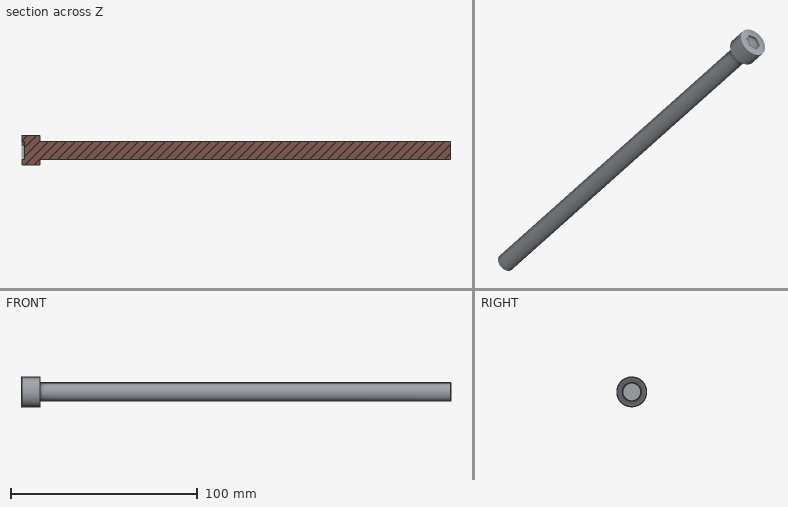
import cadquery as cq
import math

shank_diameter = 10.0
shank_length = 220.0
head_diameter = 16.0
head_height = shank_diameter
tip_chamfer = 0.2
socket_sides = 6
socket_width = 8.0
socket_depth = 1.5


def make_head():
    """Cylindrical head, extending from the seat toward -X."""
    return cq.Workplane("YZ").circle(head_diameter / 2).extrude(-head_height)


def make_shank():
    """Plain shank, extending toward +X, with a chamfered tip."""
    shank = cq.Workplane("YZ").circle(shank_diameter / 2).extrude(shank_length)
    return shank.faces(">X").edges().chamfer(tip_chamfer)


def make_socket():
    """Hexagonal key socket in the head's end face, with two corners on the Y axis."""
    width_across_corners = socket_width / math.cos(math.pi / socket_sides)
    end_face = cq.Workplane("YZ").workplane(offset=-head_height)
    return end_face.polygon(socket_sides, width_across_corners).extrude(socket_depth)


result = make_head().union(make_shank()).cut(make_socket())